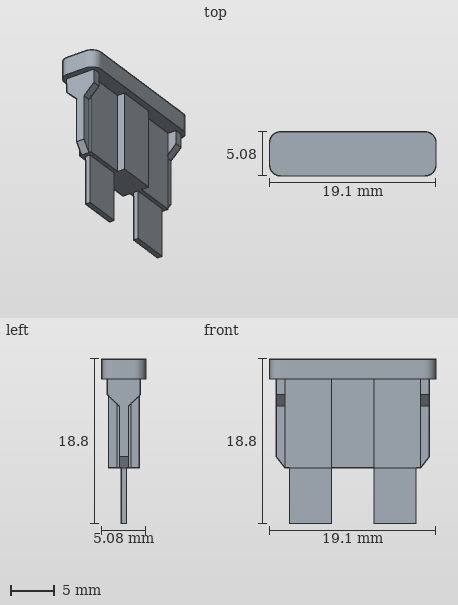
import cadquery as cq


total_height = 18.8
blade_length = 6.35
cap_height = 2.29
cap_bottom = total_height - cap_height
body_bottom = blade_length
body_height = cap_bottom - body_bottom

cap_length = 19.05
cap_depth = 5.08
cap_corner_radius = 1.27

blade_width = 4.826
blade_thickness = 0.635
blade_pitch = 2 * blade_width

panel_length = 15.494
panel_depth = 1.6
center_panel_width = blade_pitch - blade_width
center_panel_depth = 3.556

rib_span = 17.526
rib_head_depth = 3.81
rib_web_depth = 1.04
taper_top = 14.73
taper_bottom = 13.41
rib_chamfer_height = 1.29
rib_chamfer_length = (rib_span - panel_length) / 2


def centered_block(length, depth, height, bottom):
    """Rectangular block centred on X and Y, standing on the given height."""
    block = cq.Workplane("XY").box(length, depth, height, centered=(True, True, False))
    return block.translate((0, 0, bottom))


def make_cap():
    cap = centered_block(cap_length, cap_depth, cap_height, cap_bottom)
    return cap.edges("|Z").fillet(cap_corner_radius)


def make_body():
    panels = centered_block(panel_length, panel_depth, body_height, body_bottom)
    center_panel = centered_block(center_panel_width, center_panel_depth, body_height, body_bottom)
    return panels.union(center_panel)


def make_rib_bar():
    """Full-span bar with the rib profile in YZ and its lower ends cut at a slant."""
    half_head = rib_head_depth / 2
    half_web = rib_web_depth / 2
    profile = [
        (-half_head, cap_bottom),
        (-half_head, taper_top),
        (-half_web, taper_bottom),
        (-half_web, body_bottom),
        (half_web, body_bottom),
        (half_web, taper_bottom),
        (half_head, taper_top),
        (half_head, cap_bottom),
    ]
    bar = cq.Workplane("YZ").polyline(profile).close().extrude(rib_span / 2, both=True)
    lower_end_edges = bar.faces("<Z").edges("|Y")
    return lower_end_edges.chamfer(rib_chamfer_height, rib_chamfer_length)


def make_ribs():
    """Keep only the parts of the bar that lie beyond the ends of the panels."""
    between_ribs = centered_block(panel_length, rib_head_depth, body_height, body_bottom)
    return make_rib_bar().cut(between_ribs)


def make_blade(center_x):
    blade = centered_block(blade_width, blade_thickness, cap_bottom, 0)
    return blade.translate((center_x, 0, 0))


result = make_cap().union(make_body()).union(make_ribs())
for side in (-1, 1):
    result = result.union(make_blade(side * blade_pitch / 2))